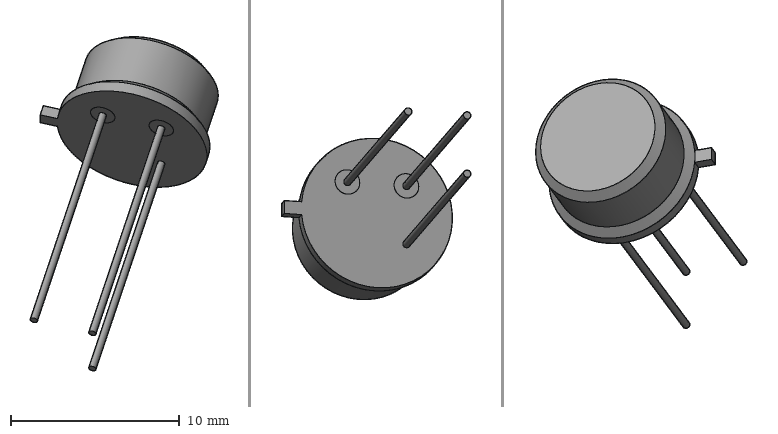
import cadquery as cq
import math


header_radius = 4.6
header_thickness = 0.7
tab_reach = 5.64
tab_width = 0.8

can_radius = 4.1
package_height = 4.9
can_top_chamfer = 0.5
foot_height = 0.5

lead_diameter = 0.45
lead_length = 15.5
lead_circle_diameter = 5.08
bead_diameter = 1.5

lead_offset = lead_circle_diameter / 2 * math.sqrt(0.5)
insulated_leads = [(-lead_offset, lead_offset), (lead_offset, lead_offset)]
grounded_lead = (lead_offset, -lead_offset)


def rod(diameter, position, y_start, y_end):
    """Round bar parallel to Y, centred on an (X, Z) position."""
    x, z = position
    axis_plane = cq.Plane(origin=(x, y_start, z), xDir=(1, 0, 0), normal=(0, 1, 0))
    return cq.Workplane(axis_plane).circle(diameter / 2).extrude(y_end - y_start)


def make_header():
    """Disc with its index tab, drilled for the beads and the grounded lead."""
    disc = rod(2 * header_radius, (0, 0), 0, header_thickness)
    tab = (
        cq.Workplane("XY")
        .box(tab_reach, header_thickness, tab_width, centered=(False, False, True))
        .translate((-tab_reach, 0, 0))
    )
    header = disc.union(tab)
    for position in insulated_leads:
        header = header.cut(rod(bead_diameter, position, 0, header_thickness))
    return header.cut(rod(lead_diameter, grounded_lead, 0, header_thickness))


def make_can():
    """Can with a flared foot that meets the header rim and a chamfered top."""
    foot_top = header_thickness + foot_height
    return (
        cq.Workplane("XY")
        .moveTo(0, header_thickness)
        .lineTo(header_radius, header_thickness)
        .lineTo(can_radius, foot_top)
        .lineTo(can_radius, package_height - can_top_chamfer)
        .lineTo(can_radius - can_top_chamfer, package_height)
        .lineTo(0, package_height)
        .close()
        .revolve(360, (0, 0, 0), (0, 1, 0))
    )


def make_bead(position):
    """Glass bead filling its header hole, with a bore for the lead."""
    bead = rod(bead_diameter, position, 0, header_thickness)
    return bead.cut(rod(lead_diameter, position, 0, header_thickness))


def make_lead(position):
    """Straight wire from its free end up to the top face of the header."""
    return rod(lead_diameter, position, -lead_length, header_thickness)


header = make_header()
can = make_can()
beads = [make_bead(position) for position in insulated_leads]
leads = [make_lead(position) for position in insulated_leads + [grounded_lead]]

bodies = [header, can, *beads, *leads]
result = cq.Compound.makeCompound([body.solids().val() for body in bodies])